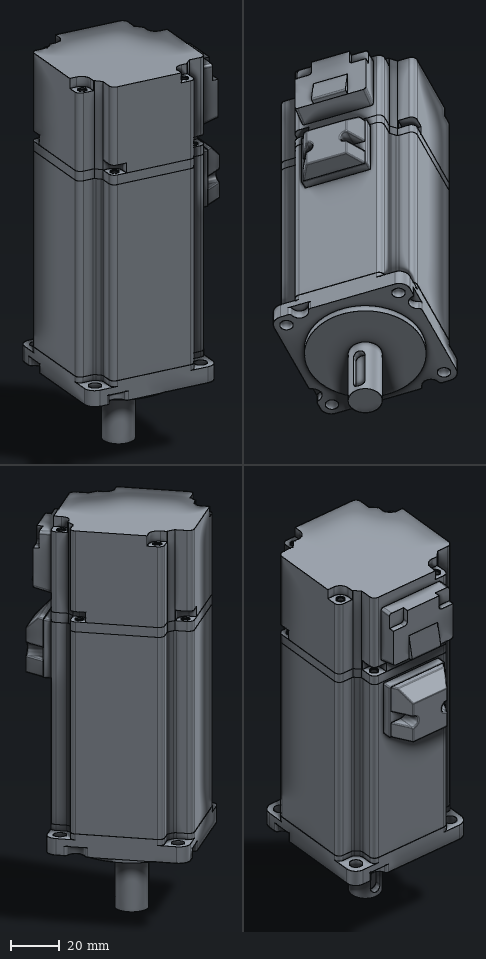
import cadquery as cq
import math


shaft_reach = 30.3
overall_height = 171
motor_height = overall_height - shaft_reach
ear_top = 7.2
flange_top = 9.7
spacer_bottom = motor_height - 43.6
spacer_top = motor_height - 39.3

flange_size = 60.2
flange_corner_radius = 4.8
body_size = 60.0
lip_radius = 2.5
notch = 10.3
notch_chamfer = 2.5
notch_radius = 1.7

bolt_offset = 24.8
bolt_hole_diameter = 5.5
pilot_diameter = 50.0
pilot_height = 3.0
relief_radius = 3.8
relief_lip_radius = 1.4
relief_height = 4.1
relief_offset = 17.0

shaft_diameter = 14.0
keyway_width = 5.0
keyway_depth = 3.0
keyway_length = 20.2
keyway_end_gap = 2.2

pocket_depth = 4.5
pocket_width = 7.4
pocket_reach = 17.1
pocket_radius = 4.1
base_pocket_height = 4.5
screw_inset = 4.0
screw_reach = 13.7
screw_hole_diameter = 3.8
screw_bore_diameter = 2.7
screw_head_depth = 0.5
screw_hole_depth = 2.0

signal_width = 31.5
signal_depth = 8.0
signal_top = motor_height - 6.2
signal_height = 26.7
signal_slope = 0.25
signal_radius = 1.2
signal_notch_width = 7.4
signal_notch_depth = 2.5
signal_notch_height = 7.2
signal_notch_radius = 1.5
wedge_width = 15.0
wedge_reach = 2.2
wedge_slope = 0.2
wedge_tip_radius = 0.7
power_top = motor_height - 44.5
power_height = 25.3
power_base_width = 29.0
power_base_depth = 4.1
overall_depth = 72.7
power_reach = overall_depth - flange_size / 2 - body_size / 2
power_outer_width = 17.8
power_flank_angle = 30
power_chamfer = 6.0
power_edge_radius = 0.5
grip_radius = 2.7
grip_drop = 15.2


def around_axis(shape):
    """Four copies of a shape, a quarter turn apart around the motor axis."""
    return [shape.rotate((0, 0, 0), (0, 0, 1), 90 * turn) for turn in range(4)]


def cut_around_axis(target, tool):
    for copy in around_axis(tool):
        target = target.cut(copy)
    return target


def notched_block(size, inner_radius, bottom, top):
    """A square block with a notch along each corner; a chamfer fills the inner corner of the notch.

    The notch walls lie in the same planes for every size, and the ends of the chamfer may be rounded.
    """
    half = size / 2
    wall = body_size / 2 - notch
    chamfer_end = wall + notch_chamfer
    lip = lip_radius + (body_size - size) / 2
    notch_outline = [(half, half), (wall, half), (wall, chamfer_end), (chamfer_end, wall), (half, wall)]
    block = cq.Workplane("XY", origin=(0, 0, bottom)).rect(size, size).extrude(top - bottom)
    cutter = cq.Workplane("XY", origin=(0, 0, bottom)).polyline(notch_outline).close().extrude(top - bottom)
    block = cut_around_axis(block, cutter)

    def distance_out(edge):
        return max(abs(edge.Center().x), abs(edge.Center().y))

    block = block.edges("|Z").filter(lambda edge: distance_out(edge) > half - lip / 2).fillet(lip)
    if inner_radius:
        block = (
            block.edges("|Z")
            .filter(lambda edge: math.isclose(distance_out(edge), chamfer_end, abs_tol=0.002))
            .fillet(inner_radius)
        )
    return block


def relief_tool():
    """A round recess in the -Y side, open at the mounting face, with rounded lips."""
    mouth = math.sqrt(relief_radius**2 + 2 * relief_radius * relief_lip_radius)
    blend = relief_radius / (relief_radius + relief_lip_radius)
    blend_x = mouth * blend
    blend_y = relief_lip_radius * blend
    return (
        cq.Workplane("XY", origin=(-relief_offset, -flange_size / 2, 0))
        .moveTo(-mouth, 0)
        .radiusArc((-blend_x, blend_y), -relief_lip_radius)
        .threePointArc((0, relief_radius), (blend_x, blend_y))
        .radiusArc((mouth, 0), -relief_lip_radius)
        .close()
        .extrude(relief_height)
    )


def make_flange():
    ears = cq.Workplane("XY").rect(flange_size, flange_size).extrude(ear_top)
    ears = ears.edges("|Z").fillet(flange_corner_radius)
    core = notched_block(flange_size, notch_radius, 0, flange_top)
    pilot = cq.Workplane("XY").circle(pilot_diameter / 2).extrude(-pilot_height)
    bolt_hole = cq.Workplane("XY").center(bolt_offset, bolt_offset).circle(bolt_hole_diameter / 2).extrude(ear_top)
    flange = cut_around_axis(ears.union(core), bolt_hole)
    return cut_around_axis(flange, relief_tool()).union(pilot)


def make_shaft():
    root = -pilot_height
    shaft = cq.Workplane("XY").workplane(offset=root).circle(shaft_diameter / 2).extrude(-shaft_reach - root)
    keyway_center = -shaft_reach + keyway_end_gap + keyway_length / 2
    keyway = (
        cq.Workplane("XZ", origin=(0, shaft_diameter / 2 - keyway_depth, keyway_center))
        .slot2D(keyway_length, keyway_width, 90)
        .extrude(-shaft_diameter)
    )
    return shaft.cut(keyway)


def make_body():
    return notched_block(body_size, notch_radius, flange_top, spacer_bottom)


def screw_hole(x, y, top):
    """A blind screw hole with a shallow counterbore, sunk from the given height."""
    bore = cq.Workplane("XY", origin=(x, y, top)).circle(screw_bore_diameter / 2).extrude(-screw_hole_depth)
    counterbore = cq.Workplane("XY", origin=(x, y, top)).circle(screw_hole_diameter / 2).extrude(-screw_head_depth)
    return bore.union(counterbore)


def screw_pocket(length_x, length_y, bottom, height):
    """A pocket in the (-X, -Y) corner with one rounded vertical edge at its inner corner."""
    corner = -body_size / 2
    pocket = cq.Workplane("XY", origin=(corner, corner, bottom)).rect(length_x, length_y, centered=False)
    return pocket.extrude(height).edges("|Z and >X and >Y").fillet(pocket_radius)


def make_spacer():
    spacer = notched_block(body_size, 0, spacer_bottom, spacer_top)
    hole = screw_hole(screw_reach - body_size / 2, screw_inset - body_size / 2, spacer_top)
    return cut_around_axis(spacer, hole)


def make_cover():
    cover = notched_block(body_size, 0, spacer_top, motor_height)
    pocket_floor = motor_height - pocket_depth
    top_pocket = screw_pocket(pocket_width, pocket_reach, pocket_floor, pocket_depth)
    base_pocket = screw_pocket(pocket_reach, pocket_width, spacer_top, base_pocket_height)
    hole = screw_hole(screw_inset - body_size / 2, screw_reach - body_size / 2, pocket_floor)
    for tool in (top_pocket, base_pocket, hole):
        cover = cut_around_axis(cover, tool)
    return cover


def make_signal_connector():
    """A box with a sloping underside and a notch in each of its outer upper corners."""
    wall = body_size / 2
    outer = wall + signal_depth
    bottom = signal_top - signal_height
    box = (
        cq.Workplane("YZ", origin=(-signal_width / 2, 0, 0))
        .moveTo(wall, signal_top)
        .lineTo(outer, signal_top)
        .lineTo(outer, bottom + signal_slope * signal_depth)
        .lineTo(wall, bottom)
        .close()
        .extrude(signal_width)
    )
    box = box.faces("<X or >X").edges("not(|Z)").fillet(signal_radius)
    notch_floor = signal_top - signal_notch_height
    notch = cq.Workplane("XY").box(signal_notch_width, signal_notch_depth, signal_notch_height, centered=False)
    notch = notch.edges("|Y and >X and <Z").fillet(signal_notch_radius)
    notch = notch.translate((-signal_width / 2, outer - signal_notch_depth, notch_floor))
    return box.cut(notch).cut(notch.mirror("YZ"))


def make_signal_plug():
    """A tilted wedge standing on the outer face of the signal connector."""
    outer = body_size / 2 + signal_depth
    bottom = signal_top - signal_height + signal_slope * signal_depth
    tip_height = bottom + signal_slope * wedge_reach
    return (
        cq.Workplane("YZ", origin=(-wedge_width / 2, 0, 0))
        .moveTo(outer, bottom)
        .lineTo(outer + wedge_reach, tip_height)
        .lineTo(outer, tip_height + wedge_reach / wedge_slope)
        .close()
        .extrude(wedge_width)
        .edges(">Y")
        .fillet(wedge_tip_radius)
    )


def make_power_base():
    base = cq.Workplane("XY").box(power_base_width, power_base_depth, power_height, centered=(True, False, False))
    base = base.translate((0, body_size / 2, power_top - power_height))
    return base.edges("|Y or >Y").fillet(power_edge_radius)


def make_power_plug():
    """A block with slanted flanks, a sloping upper outer edge and a finger groove in each flank."""
    inner = body_size / 2 + power_base_depth
    outer = body_size / 2 + power_reach
    outer_half = power_outer_width / 2
    inner_half = outer_half + math.tan(math.radians(power_flank_angle)) * (outer - inner)
    bottom = power_top - power_height
    plug = (
        cq.Workplane("XY", origin=(0, 0, bottom))
        .polyline([(-inner_half, inner), (inner_half, inner), (outer_half, outer), (-outer_half, outer)])
        .close()
        .extrude(power_height)
    )
    plug = plug.edges(">Y and >Z").chamfer(power_chamfer)
    grip_length = 2 * (inner_half - outer_half)
    grip = (
        cq.Workplane("XZ", origin=(outer_half + grip_length / 2, inner, power_top - grip_drop))
        .slot2D(grip_length + 2 * grip_radius, 2 * grip_radius)
        .extrude(inner - outer)
    )
    plug = plug.cut(grip).cut(grip.mirror("YZ"))
    return plug.edges("not <Y").fillet(power_edge_radius)


result = cq.Compound.makeCompound([
    make_flange().val(),
    make_shaft().val(),
    make_body().val(),
    make_spacer().val(),
    make_cover().val(),
    make_signal_connector().val(),
    make_signal_plug().val(),
    make_power_base().val(),
    make_power_plug().val(),
])